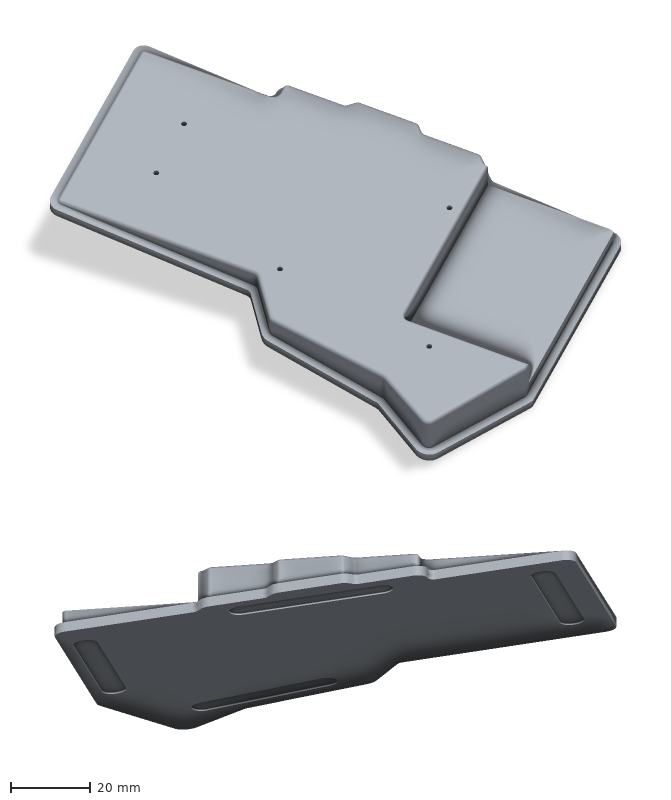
import cadquery as cq
import math

LENGTH = 133.7
HEIGHT = 15.0
TILT = math.radians(5.0)
RIM_THICKNESS = 2.5
RIM_WIDTH = 2.0
TOP_FILLET = 1.0

CORNER_RADIUS = 3.1
FRONT_CORNER_RADIUS = 4.0
INNER_RADIUS = 1.9

LEFT_TOP_Y = 56.6
SHOULDER_Y = 61.7
PEAK_Y = 64.0
RIGHT_TOP_Y = 59.1
RIGHT_LOW_Y = 2.4
NOTCH_X = 37.3
PEAK_LEFT_X = 57.5
PEAK_RIGHT_X = 75.8
SHOULDER_RIGHT_X = 94.3
PEAK_STEP = PEAK_Y - SHOULDER_Y
SHOULDER_STEP = SHOULDER_Y - RIGHT_TOP_Y
OUTLINE = [
    (0, 0, CORNER_RADIUS),
    (0, LEFT_TOP_Y, CORNER_RADIUS),
    (NOTCH_X, LEFT_TOP_Y, INNER_RADIUS),
    (NOTCH_X, SHOULDER_Y, CORNER_RADIUS),
    (PEAK_LEFT_X - PEAK_STEP, SHOULDER_Y, INNER_RADIUS),
    (PEAK_LEFT_X, PEAK_Y, CORNER_RADIUS),
    (PEAK_RIGHT_X, PEAK_Y, CORNER_RADIUS),
    (PEAK_RIGHT_X + PEAK_STEP, SHOULDER_Y, INNER_RADIUS),
    (SHOULDER_RIGHT_X, SHOULDER_Y, CORNER_RADIUS),
    (SHOULDER_RIGHT_X + SHOULDER_STEP, RIGHT_TOP_Y, INNER_RADIUS),
    (LENGTH, RIGHT_TOP_Y, CORNER_RADIUS),
    (LENGTH, RIGHT_LOW_Y, CORNER_RADIUS),
    (117.0, -26.6, FRONT_CORNER_RADIUS),
    (99.4, -16.3, INNER_RADIUS),
    (65.4, -11.6, FRONT_CORNER_RADIUS),
    (56.6, 0, INNER_RADIUS),
]

FLOOR_X = 96.7
FLOOR_Y = 4.5
FLOOR_DEPTH = 8.4
FLOOR_CORNER_RADIUS = 1.6

HOLE_DIAMETER = 1.5
HOLE_DEPTH = 2.7
HOLE_CENTRES = [(21.4, 37.3), (21.4, 20.3), (62.3, 5.6), (93.4, 40.8), (106.7, -1.1)]

FOOT_WIDTH = 6.3
FOOT_DEPTH = 0.4
FOOT_CORNER_RADIUS = 3.1
FOOT_LENGTH = 42.1
SHORT_FOOT_LENGTH = 38.8
EDGE_ANGLE = -7.8
FEET = [
    (9.6, 29.7, FOOT_LENGTH, 90),
    (127.6, 29.7, FOOT_LENGTH, 90),
    (68.0, 55.1, FOOT_LENGTH, 0),
    (92.8, -8.2, SHORT_FOOT_LENGTH, EDGE_ANGLE),
]

MARGIN = 40.1


def edge_normal(start, end):
    """Unit normal pointing into the part, for a clockwise outline."""
    run, rise = end[0] - start[0], end[1] - start[1]
    length = math.hypot(run, rise)
    return rise / length, -run / length


def inset_corner(index, inset):
    """Sharp outline corner moved inward so both its edges shift by the inset."""
    corner = OUTLINE[index]
    before = edge_normal(OUTLINE[index - 1], corner)
    after = edge_normal(corner, OUTLINE[(index + 1) % len(OUTLINE)])
    shift = inset / (1 + before[0] * after[0] + before[1] * after[1])
    return (
        corner[0] + shift * (before[0] + after[0]),
        corner[1] + shift * (before[1] + after[1]),
    )


def outline_prism(inset):
    """Tall vertical prism below Z = 0 of the rounded outline, drawn in by the inset."""
    depth = HEIGHT + MARGIN
    corners = [inset_corner(index, inset) for index in range(len(OUTLINE))]
    prism = cq.Workplane().polyline(corners).close().extrude(-depth)
    for (x, y), (_, _, radius) in zip(corners, OUTLINE):
        if radius != INNER_RADIUS:
            radius -= inset
        upright = cq.selectors.NearestToPointSelector((x, y, -depth / 2))
        prism = prism.edges(upright).fillet(radius)
    return prism


def underside_z(x):
    """Height of the sloping underside."""
    return -HEIGHT + (LENGTH - x) * math.tan(TILT)


def sloped_layer(thickness):
    """Slab resting on the plane of the underside."""
    left, right = -MARGIN, LENGTH + MARGIN
    profile = [
        (left, underside_z(left)),
        (right, underside_z(right)),
        (right, underside_z(right) + thickness),
        (left, underside_z(left) + thickness),
    ]
    return cq.Workplane("XZ").polyline(profile).close().extrude(LENGTH, both=True)


def raised_body():
    """Body inside the rim with the lowered floor and a rounded top edge."""
    body = outline_prism(RIM_WIDTH)
    floor_cut = (
        cq.Workplane()
        .box(LENGTH, LENGTH, FLOOR_DEPTH + MARGIN, centered=False)
        .edges("|Z and <X and <Y")
        .fillet(FLOOR_CORNER_RADIUS)
        .translate((FLOOR_X, FLOOR_Y, -FLOOR_DEPTH))
    )
    body = body.cut(floor_cut)
    body = body.faces(">Z").edges().fillet(TOP_FILLET)
    return body.intersect(sloped_layer(HEIGHT + MARGIN))


def foot_recess(x, y, length, angle):
    """Rounded strip sunk into the sloping underside."""
    strip = (
        cq.Workplane()
        .box(length, FOOT_WIDTH, 2 * MARGIN)
        .edges("|Z")
        .fillet(FOOT_CORNER_RADIUS)
        .rotate((0, 0, 0), (0, 0, 1), angle)
        .translate((x, y, 0))
    )
    return strip.intersect(sloped_layer(FOOT_DEPTH))


rim = outline_prism(0).intersect(sloped_layer(RIM_THICKNESS))
result = rim.union(raised_body())

for foot in FEET:
    result = result.cut(foot_recess(*foot))

holes = cq.Workplane().pushPoints(HOLE_CENTRES).circle(HOLE_DIAMETER / 2).extrude(-HOLE_DEPTH)
result = result.cut(holes)